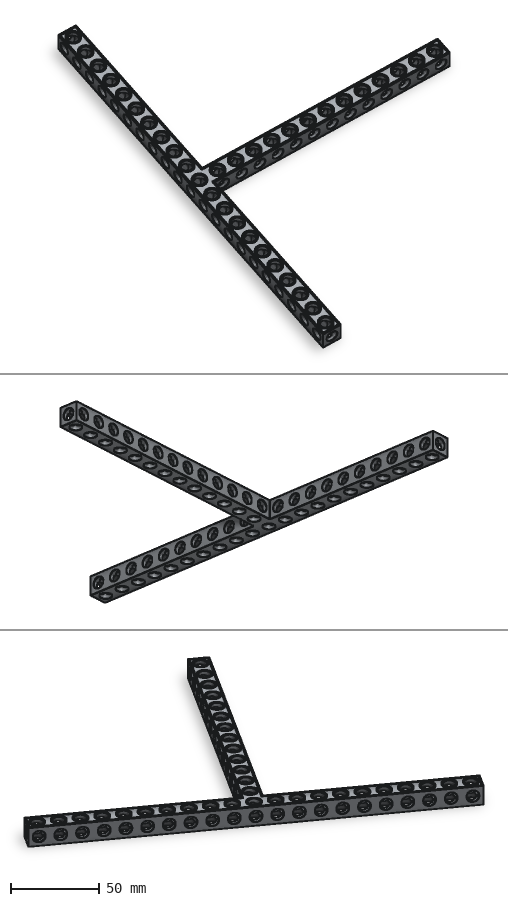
import cadquery as cq

crossbar_holes = 21
stem_holes = 13
crossbar_length = 262.5
hole_diameter = 7.0
collar_diameter = 9.2
recess_inset = 1.0
recess_depth = 0.3
edge_bevel = 0.3
mouth_bevel = 0.3

pitch = crossbar_length / crossbar_holes
half_width = pitch / 2
half_length = crossbar_length / 2
stem_end = half_width + stem_holes * pitch

column_xs = [(i + 0.5) * pitch - half_length for i in range(crossbar_holes)]
stem_ys = [(i + 1) * pitch for i in range(stem_holes)]


def tee(inset, height):
    """T-shaped prism standing on Z = 0, its outline pulled in by inset."""
    bar_width = pitch - 2 * inset
    stem_length = stem_end - inset
    crossbar = cq.Workplane("XY").rect(crossbar_length - 2 * inset, bar_width).extrude(height)
    stem = cq.Workplane("XY").center(0, stem_length / 2).rect(bar_width, stem_length).extrude(height)
    return crossbar.union(stem)


def bore(start, direction, depth):
    """Cutter for a through hole whose two mouths are bevelled."""
    radius = hole_diameter / 2
    cylinder = cq.Solid.makeCylinder(radius, depth, start, direction)
    near_mouth = cq.Solid.makeCone(radius + mouth_bevel, radius, mouth_bevel, start, direction)
    end = start + direction * depth
    far_mouth = cq.Solid.makeCone(radius + mouth_bevel, radius, mouth_bevel, end, direction * -1)
    return cylinder.fuse(near_mouth, far_mouth)


def top_recess():
    """Shallow sunken area of the top face, with a collar left around each hole."""
    collar_centers = [(x, 0) for x in column_xs] + [(0, y) for y in stem_ys]
    collars = cq.Workplane("XY").pushPoints(collar_centers).circle(collar_diameter / 2).extrude(recess_depth)
    return tee(recess_inset, recess_depth).cut(collars).translate((0, 0, pitch - recess_depth))


def bores():
    """Cutters for every hole, along Z, Y and X."""
    along_x = cq.Vector(1, 0, 0)
    along_y = cq.Vector(0, 1, 0)
    along_z = cq.Vector(0, 0, 1)
    cutters = [bore(cq.Vector(-half_length, 0, half_width), along_x, crossbar_length)]
    for x in column_xs:
        is_stem_column = abs(x) < half_width
        depth = half_width + stem_end if is_stem_column else pitch
        cutters.append(bore(cq.Vector(x, -half_width, half_width), along_y, depth))
        cutters.append(bore(cq.Vector(x, 0, 0), along_z, pitch))
    for y in stem_ys:
        cutters.append(bore(cq.Vector(-half_width, y, half_width), along_x, pitch))
        cutters.append(bore(cq.Vector(0, y, 0), along_z, pitch))
    return cutters


body = tee(0, pitch).edges().chamfer(edge_bevel).cut(top_recess())
for cutter in bores():
    body = body.cut(cq.Workplane(cutter))

result = body